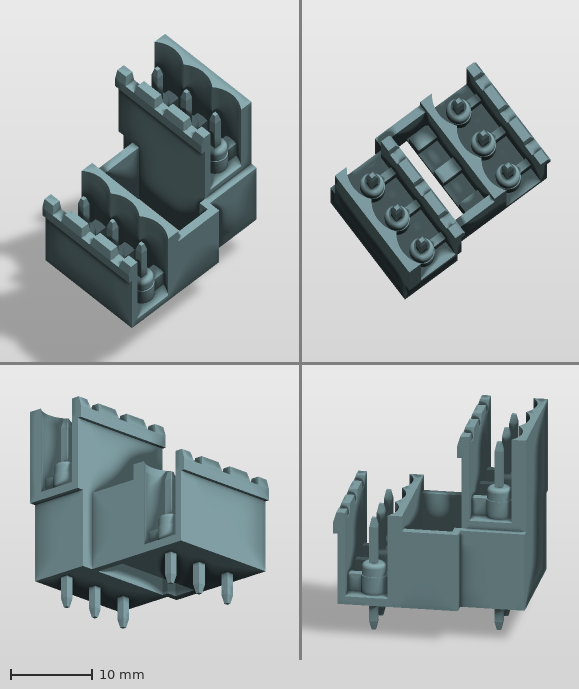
import cadquery as cq

pole_count = 3
pitch = 5.08
pin_row_pitches = 3
lower_pin_y = 4.65
upper_pin_y = lower_pin_y + pin_row_pitches * pitch
tier_width = pole_count * pitch

lower_tier_x = pitch / 2
upper_tier_y = 15.07
upper_tier_rise = 10.0
base_x = 0.9

tier_depth = 8.62
tier_height = 12.0
front_face_y = 0.55
front_wall_inner_y = 1.5
pocket_floor = 1.04
back_wall_thickness = 1.81
scallop_depth = 0.9

lip_bottom = 9.2
lip_bevel_start = 10.72
lip_bevel_depth = 0.4
notch_top_width = 2.05
notch_floor_width = 1.42

seat_height = 3.35
seat_diameter = 3.2
collar_diameter = 3.0
collar_top = 4.85
collar_fillet = 0.5
back_rib_width = 1.8
front_rib_width = 1.04

pin_side = 1.0
pin_protrusion = 3.9
pin_top = 10.7
pin_tip_length = 1.11
pin_tip_side = 0.52

side_wall_thickness = 1.11
jog_wall_thickness = 0.88
ledge_depth = 2.9
ledge_rib_width = 1.9

lower_tier_z = pin_protrusion
upper_tier_z = lower_tier_z + upper_tier_rise
tier_back_y = tier_depth - back_wall_thickness
pole_centres = [(i + 0.5) * pitch for i in range(pole_count)]
tiers = [
    ((lower_tier_x, 0, lower_tier_z), lower_pin_y),
    ((0, upper_tier_y, upper_tier_z), upper_pin_y),
]
base_front_y = upper_tier_y + front_face_y


def block(x_range, y_range, z_range):
    """Box given by its limits along each axis."""
    (x0, x1), (y0, y1), (z0, z1) = x_range, y_range, z_range
    return cq.Workplane("XY").box(x1 - x0, y1 - y0, z1 - z0, centered=False).translate((x0, y0, z0))


def centred_block(x_centre, width, y_range, z_range):
    """Box of the given width placed symmetrically about x_centre."""
    return block((x_centre - width / 2, x_centre + width / 2), y_range, z_range)


def tier_shell():
    """Solid tier with the bevelled latch lip along its front."""
    return (
        cq.Workplane("YZ")
        .moveTo(front_face_y, 0)
        .lineTo(tier_depth, 0)
        .lineTo(tier_depth, tier_height)
        .lineTo(lip_bevel_depth, tier_height)
        .lineTo(0, lip_bevel_start)
        .lineTo(0, lip_bottom)
        .lineTo(front_face_y, lip_bottom)
        .close()
        .extrude(tier_width)
    )


def scalloped_pocket(floor):
    """Pocket open at both ends, its back face made of one shallow arc per pole."""
    outline = cq.Workplane("XY").workplane(offset=floor).moveTo(0, front_wall_inner_y).lineTo(0, tier_back_y)
    for x in pole_centres:
        outline = outline.threePointArc((x, tier_back_y + scallop_depth), (x + pitch / 2, tier_back_y))
    return outline.lineTo(tier_width, front_wall_inner_y).close().extrude(tier_height - floor)


def lip_notch(x):
    """Tapered notch across the front wall at one pole."""
    return (
        cq.Workplane("XZ")
        .moveTo(x - notch_floor_width / 2, lip_bevel_start)
        .lineTo(x + notch_floor_width / 2, lip_bevel_start)
        .lineTo(x + notch_top_width / 2, tier_height)
        .lineTo(x - notch_top_width / 2, tier_height)
        .close()
        .extrude(-front_wall_inner_y)
    )


def pin_seat(x, y):
    """Round seat with a rounded collar on top, ribbed to the front and back walls."""
    centre = cq.Workplane("XY").center(x, y)
    seat = centre.circle(seat_diameter / 2).extrude(seat_height)
    collar = centre.circle(collar_diameter / 2).extrude(collar_top).faces(">Z").edges().fillet(collar_fillet)
    front_rib = centred_block(x, front_rib_width, (front_wall_inner_y, y), (0, seat_height))
    back_rib = centred_block(x, back_rib_width, (y, tier_depth), (0, seat_height))
    return seat.union(front_rib).union(back_rib).union(collar)


def header_tier(seat_y):
    """One row of the header, with its left front lower corner at the origin and its seats at seat_y."""
    tier = tier_shell().cut(scalloped_pocket(pocket_floor))
    for x in pole_centres:
        tier = tier.cut(lip_notch(x)).union(pin_seat(x, seat_y))
    return tier


def base():
    """Block that carries the upper tier."""
    return block(
        (base_x, base_x + tier_width),
        (base_front_y, upper_tier_y + tier_depth),
        (lower_tier_z, upper_tier_z),
    )


def well_walls():
    """Side walls of the open well, with the jog that reaches the base on the right."""
    heights = (lower_tier_z, upper_tier_z)
    right = lower_tier_x + tier_width
    left_wall = block((lower_tier_x, lower_tier_x + side_wall_thickness), (tier_depth, base_front_y), heights)
    right_wall = block((right - side_wall_thickness, right), (tier_depth, base_front_y), heights)
    jog_wall = block((tier_width, right), (base_front_y - jog_wall_thickness, base_front_y), heights)
    return left_wall.union(right_wall).union(jog_wall)


def well_ledge():
    """Floor strip behind the lower tier, with one rib per pole."""
    depths = (tier_depth, tier_depth + ledge_depth)
    ledge_heights = (lower_tier_z, lower_tier_z + pocket_floor)
    rib_heights = (lower_tier_z, lower_tier_z + seat_height)
    ledge = block((lower_tier_x, lower_tier_x + tier_width), depths, ledge_heights)
    for x in pole_centres:
        ledge = ledge.union(centred_block(lower_tier_x + x, ledge_rib_width, depths, rib_heights))
    return ledge


def pin_tip(z_wide, direction):
    """Square tip that narrows away from z_wide, up for direction 1 and down for -1."""
    return (
        cq.Workplane("XY")
        .workplane(offset=z_wide)
        .rect(pin_side, pin_side)
        .workplane(offset=direction * pin_tip_length)
        .rect(pin_tip_side, pin_tip_side)
        .loft(ruled=True)
    )


def pin(top):
    """Square pin from z = 0 to top, pointed at both ends."""
    shank_top = top - pin_tip_length
    shank = centred_block(0, pin_side, (-pin_side / 2, pin_side / 2), (pin_tip_length, shank_top))
    return shank.union(pin_tip(pin_tip_length, -1)).union(pin_tip(shank_top, 1))


pins = []
for (tier_x, _, tier_z), pin_y in tiers:
    for x in pole_centres:
        placed_pin = pin(tier_z + pin_top).translate((tier_x + x, pin_y, 0))
        pins.append(placed_pin.solids().val())

housing = base().union(well_walls()).union(well_ledge())
for (tier_x, tier_y, tier_z), pin_y in tiers:
    tier = header_tier(pin_y - tier_y).translate((tier_x, tier_y, tier_z))
    housing = housing.union(tier)
for pin_solid in pins:
    housing = housing.cut(cq.Workplane(pin_solid))
housing = housing.solids()

result = cq.Compound.makeCompound([housing.val(), *pins])